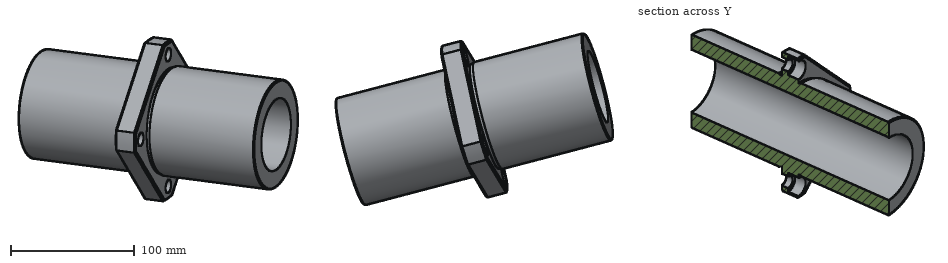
import cadquery as cq
import math

sleeve_length = 209.0
sleeve_diameter = 90.0
bore_diameter = 60.0
end_chamfer = 0.8

flange_thickness = 18.0
flange_corner_diameter = 134.0
flange_across_flats = 106.0
flange_chamfer = 1.3

bolt_hole_count = 4
bolt_circle_diameter = 112.0
bolt_hole_diameter = 11.0
counterbore_diameter = 17.5
counterbore_depth = 11.0

relief_width = 3.0
relief_depth = 1.0

sleeve_radius = sleeve_diameter / 2
flange_face = flange_thickness / 2


def cylinder_along_x(diameter, start, length):
    return cq.Workplane("YZ").workplane(offset=start).circle(diameter / 2).extrude(length)


def make_sleeve():
    sleeve = cylinder_along_x(sleeve_diameter, -sleeve_length / 2, sleeve_length)
    return sleeve.faces("<X or >X").chamfer(end_chamfer)


def make_relief(side):
    """Concave ring cut that is deepest at the flange face; side is -1 or 1 along X."""
    arc_radius = (relief_width**2 + relief_depth**2) / (2 * relief_depth)
    half_angle = math.asin(relief_width / arc_radius) / 2
    floor_radius = sleeve_radius - relief_depth
    middle_x = flange_face + arc_radius * math.sin(half_angle)
    middle_radius = floor_radius + arc_radius * (1 - math.cos(half_angle))
    profile = (
        cq.Workplane("XY")
        .moveTo(side * flange_face, sleeve_radius)
        .lineTo(side * flange_face, floor_radius)
        .threePointArc(
            (side * middle_x, middle_radius),
            (side * (flange_face + relief_width), sleeve_radius),
        )
        .close()
    )
    return profile.revolve(360, (0, 0, 0), (1, 0, 0))


def make_flange():
    square = (
        cq.Workplane("YZ")
        .workplane(offset=-flange_face)
        .transformed(rotate=(0, 0, 45))
        .rect(flange_across_flats, flange_across_flats)
        .extrude(flange_thickness)
    )
    corner_round = cylinder_along_x(flange_corner_diameter, -flange_face, flange_thickness)
    return square.intersect(corner_round).faces("<X or >X").chamfer(flange_chamfer)


def make_bolt_holes():
    """Through holes on the Y and Z axes, counterbored from the -X face."""
    centres = (
        cq.Workplane("YZ")
        .workplane(offset=-flange_face)
        .polarArray(bolt_circle_diameter / 2, 0, 360, bolt_hole_count)
    )
    through_holes = centres.circle(bolt_hole_diameter / 2).extrude(flange_thickness)
    counterbores = centres.circle(counterbore_diameter / 2).extrude(counterbore_depth)
    return through_holes.union(counterbores)


sleeve = make_sleeve()
for side in (-1, 1):
    sleeve = sleeve.cut(make_relief(side))

flange = make_flange().cut(make_bolt_holes())
bore = cylinder_along_x(bore_diameter, -sleeve_length / 2, sleeve_length)

result = sleeve.union(flange).cut(bore)